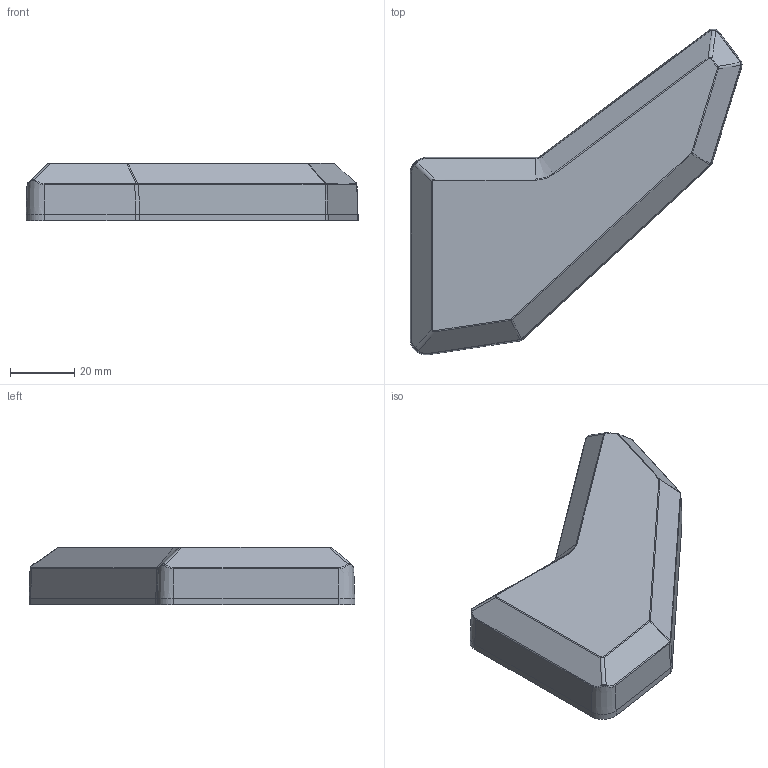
import cadquery as cq

total_height = 17.78
base_band_height = 1.905
bevel_size = 6.35
draft_angle = 2.0
bevel_bottom = total_height - bevel_size
bevel_middle = total_height - bevel_size / 2

large_corner_radius = 5.08
corner_radius = 2.54
bevel_ridge_radius = 1.27
bevel_border_radius = 0.508

upper_left = (0.0, 0.0)
inner_corner = (39.95, 0.0)
tip_peak = (94.95, 41.02)
tip_shoulder = (103.74, 29.29)
elbow = (93.92, -2.47)
lower_right = (34.78, -57.12)
lower_left = (0.0, -62.38)

outline = [upper_left, inner_corner, tip_peak, tip_shoulder, elbow, lower_right, lower_left]
large_corners = [upper_left, lower_left]
small_corners = [tip_peak, tip_shoulder, elbow, lower_right]

selection_slack = 0.1
pick_reach = 1.0
ridge_reach = 8.0


def corner_box(corner, reach, bottom, top):
    """Selector for edges whose middle lies near a corner, between two heights."""
    x, y = corner
    return cq.selectors.BoxSelector((x - reach, y - reach, bottom), (x + reach, y + reach, top))


def walls(radius_by_corner):
    """Straight base band with a drafted wall above it; only the given corners are rounded."""
    band = cq.Workplane("XY").polyline(outline).close().extrude(base_band_height)
    for corner, radius in radius_by_corner:
        box = corner_box(corner, pick_reach, 0, base_band_height)
        band = band.edges("|Z").edges(box).fillet(radius)
    wall_height = total_height - base_band_height
    return band.faces(">Z").wires().toPending().extrude(wall_height, taper=draft_angle)


def beveled_envelope():
    """Sharp-cornered walls with a wide bevel on top and softened bevel ridges."""
    body = walls([(inner_corner, corner_radius)])
    body = body.faces(">Z").edges().chamfer(bevel_size)
    for corner in large_corners + small_corners:
        box = corner_box(corner, ridge_reach, bevel_bottom + selection_slack, total_height)
        body = body.edges("not #Z").edges(box).fillet(bevel_ridge_radius)
    return body


def rounded_walls():
    """Walls with every corner of the outline rounded."""
    radii = [(inner_corner, corner_radius)]
    radii += [(corner, large_corner_radius) for corner in large_corners]
    radii += [(corner, corner_radius) for corner in small_corners]
    return walls(radii)


def on_lower_border(edge):
    """True for edges between bevel and wall, which climb a little round the large corners."""
    box = edge.BoundingBox()
    return box.zmin > bevel_bottom - selection_slack and box.zmax < bevel_middle


def soften_bevel_borders(body):
    """Round the border of the top face and the line where the bevel meets the walls."""
    top_border = body.faces(">Z").edges().vals()
    lower_border = [edge for edge in body.edges().vals() if on_lower_border(edge)]
    return body.newObject(top_border + lower_border).fillet(bevel_border_radius)


result = soften_bevel_borders(rounded_walls().intersect(beveled_envelope()))